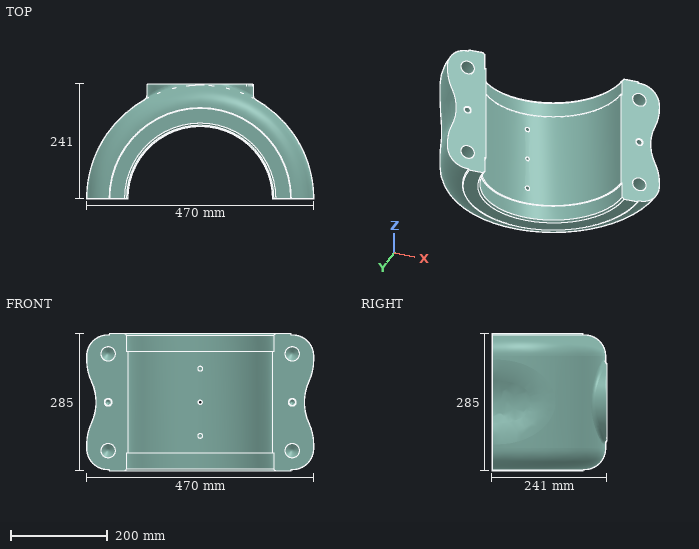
import cadquery as cq
import math

outer_radius = 235.0
body_half_height = 139.5
shoulder_radius = 44.0

end_half_height = 142.5
end_face_radius = 187.0
end_foot_radius = 188.5

bore_radius = 149.5
seat_radius = 152.5
seat_start = 105.5
mouth_chamfer = 4.0

waist_x = 215.5
scoop_radius = 103.5
scoop_blend = 103.5
scoop_tilt = 2.5

pad_top = 238.0
pad_base = 188.0
pad_end_radius = 81.5
pad_end_offset = 29.0
pad_edge_round = 4.0
pad_foot_fillet = 9.5

joint_x = 190.5
bolt_z = 100.0
bolt_diameter = 29.5
bolt_depth = 70.5
dowel_diameter = 13.0
dowel_depth = 37.5
dowel_mouth_diameter = 16.0
drill_point_angle = 118.0

center_hole_diameter = 8.0
side_hole_diameter = 10.0
side_hole_z = 69.5
side_hole_depth = 23.5


def ring_blank():
    """Full outer ring, solid to the axis, with rounded shoulders and raised ends."""
    flat_radius = outer_radius - shoulder_radius
    shoulder_z = body_half_height - shoulder_radius
    arc_reach = shoulder_radius * math.sqrt(0.5)
    mid_r = flat_radius + arc_reach
    mid_z = shoulder_z + arc_reach
    return (
        cq.Workplane("XZ")
        .moveTo(0, -end_half_height)
        .lineTo(end_face_radius, -end_half_height)
        .lineTo(end_foot_radius, -body_half_height)
        .lineTo(flat_radius, -body_half_height)
        .threePointArc((mid_r, -mid_z), (outer_radius, -shoulder_z))
        .lineTo(outer_radius, shoulder_z)
        .threePointArc((mid_r, mid_z), (flat_radius, body_half_height))
        .lineTo(end_foot_radius, body_half_height)
        .lineTo(end_face_radius, end_half_height)
        .lineTo(0, end_half_height)
        .close()
        .revolve(360, (0, 0, 0), (0, 1, 0))
        .rotate((0, 0, 0), (0, 0, 1), -90)
    )


def cut_scoop(body, side):
    """Hollow one side with a round trough that deepens toward +Y, and blend its rim."""
    mouth_center = cq.Vector(side * (waist_x + scoop_radius), 0, 0)
    inward_shift = outer_radius * math.tan(math.radians(scoop_tilt))
    mouth = cq.Wire.makeCircle(scoop_radius, mouth_center, cq.Vector(0, 1, 0))
    run = cq.Vector(-side * inward_shift, outer_radius, 0)
    body = body.cut(cq.Workplane(cq.Solid.extrudeLinear(mouth, [], run)))
    rim = body.edges("%BSPLINE").edges(">X" if side > 0 else "<X")
    return rim.fillet(scoop_blend)


def bore_tool():
    """Stepped bore with chamfered mouths."""
    mouth_radius = seat_radius + mouth_chamfer
    mouth_z = end_half_height - mouth_chamfer
    return (
        cq.Workplane("XZ")
        .moveTo(0, -end_half_height)
        .lineTo(mouth_radius, -end_half_height)
        .lineTo(seat_radius, -mouth_z)
        .lineTo(seat_radius, -seat_start)
        .lineTo(bore_radius, -seat_start)
        .lineTo(bore_radius, seat_start)
        .lineTo(seat_radius, seat_start)
        .lineTo(seat_radius, mouth_z)
        .lineTo(mouth_radius, end_half_height)
        .lineTo(0, end_half_height)
        .close()
        .revolve(360, (0, 0, 0), (0, 1, 0))
    )


def crown_pad():
    """Oval pad with a rounded top edge."""
    return (
        cq.Workplane("XZ", origin=(0, pad_top, 0))
        .slot2D(2 * (pad_end_offset + pad_end_radius), 2 * pad_end_radius)
        .extrude(pad_top - pad_base)
        .faces(">Y")
        .edges()
        .fillet(pad_edge_round)
    )


def drilled_hole(x, z, diameter, depth):
    """Blind hole from the split face, ending in a drill point."""
    radius = diameter / 2
    point_depth = radius / math.tan(math.radians(drill_point_angle / 2))
    return (
        cq.Workplane("XY", origin=(x, 0, z))
        .lineTo(radius, 0)
        .lineTo(radius, depth)
        .lineTo(0, depth + point_depth)
        .close()
        .revolve(360, (0, 0, 0), (0, 1, 0))
    )


def countersink(x, z, mouth_diameter):
    """45 degree cone that breaks the edge of a hole in the split face."""
    mouth_radius = mouth_diameter / 2
    return cq.Workplane(cq.Solid.makeCone(
        mouth_radius, 0, mouth_radius, pnt=cq.Vector(x, 0, z), dir=cq.Vector(0, 1, 0)
    ))


def radial_hole(z, diameter, end_y):
    """Straight hole along +Y, from the axis to end_y."""
    return cq.Workplane("XZ", origin=(0, 0, z)).circle(diameter / 2).extrude(-end_y)


result = ring_blank()

half_space = cq.Workplane("XY").box(
    2 * outer_radius, outer_radius, 2 * end_half_height, centered=(True, False, True)
)
result = result.intersect(half_space)

for side in (-1, 1):
    result = cut_scoop(result, side)

pad_region = cq.selectors.BoxSelector(
    (-pad_end_radius - pad_end_offset, pad_base, -pad_end_radius),
    (pad_end_radius + pad_end_offset, pad_top, pad_end_radius),
)
result = result.union(crown_pad())
result = result.edges(pad_region).edges("%BSPLINE").fillet(pad_foot_fillet)

result = result.cut(bore_tool())

for side in (-1, 1):
    x = side * joint_x
    for z in (-bolt_z, bolt_z):
        result = result.cut(drilled_hole(x, z, bolt_diameter, bolt_depth))
    result = result.cut(drilled_hole(x, 0, dowel_diameter, dowel_depth))
    result = result.cut(countersink(x, 0, dowel_mouth_diameter))

result = result.cut(radial_hole(0, center_hole_diameter, pad_top))
for z in (-side_hole_z, side_hole_z):
    result = result.cut(radial_hole(z, side_hole_diameter, bore_radius + side_hole_depth))